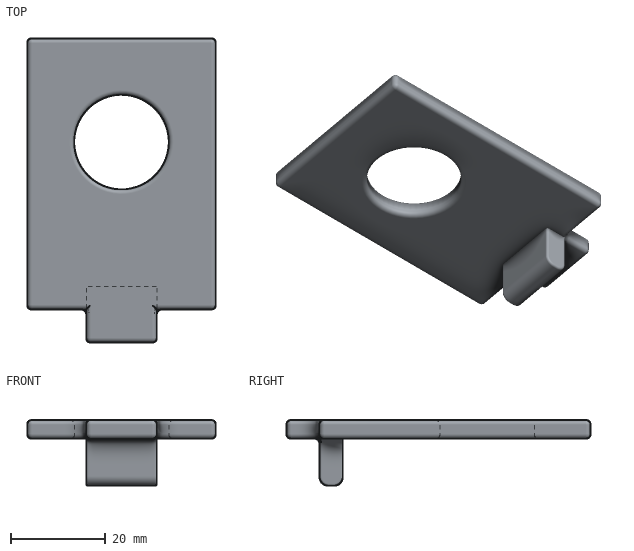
import cadquery as cq
import math

plate_width = 40.0
plate_length = 57.5
plate_thickness = 4.0
edge_radius = 1.0
hole_diameter = 20.0
hole_to_back_edge = 22.0

tab_width = 15.0
tab_length = 7.0
peg_thickness = 5.0
peg_drop = 10.0
peg_tip_radius = 2.0
peg_edge_radius = 0.5
peg_root_radius = 0.98
peg_overlap = 2.0

web_radius = 1.0
web_start_z = -1.5
web_full_z = -2.8
web_point_size = 0.01

back_y = hole_to_back_edge
front_y = back_y - plate_length
tab_front_y = front_y - tab_length
peg_back_y = front_y + peg_thickness
underside_z = -plate_thickness
peg_top_z = underside_z + peg_overlap
peg_bottom_z = underside_z - peg_drop

tolerance = 0.05


def make_box(width, y_min, y_max, z_min, z_max):
    """Box centred on X = 0 between the given Y and Z limits."""
    corner = cq.Vector(-width / 2, y_min, z_min)
    return cq.Workplane(cq.Solid.makeBox(width, y_max - y_min, z_max - z_min, corner))


def fillet_where(body, radius, is_wanted):
    """Round every edge whose centre point passes the test."""
    edges = [edge for edge in body.edges().vals() if is_wanted(edge.Center())]
    return body.newObject(edges).fillet(radius)


def near(value, target):
    return abs(value - target) < tolerance


def web_section(size, z):
    """Concave corner outline of the given radius in the inner corner on the +X side."""
    corner_x = tab_width / 2
    arc_middle = size * (1 - math.sqrt(0.5))
    return (
        cq.Workplane("XY", origin=(corner_x, front_y, z))
        .lineTo(size, 0)
        .threePointArc((arc_middle, -arc_middle), (0, -size))
        .close()
    )


def make_web():
    """Web on the +X side: a tapering upper part on a straight lower part."""
    top_wire = web_section(web_point_size, web_start_z).val()
    full_wire = web_section(web_radius, web_full_z).val()
    taper = cq.Workplane(cq.Solid.makeLoft([top_wire, full_wire], True))
    straight = web_section(web_radius, web_full_z).extrude(underside_z - web_full_z)
    return taper.union(straight)


def is_plate_edge(center):
    """Outer edges of plate and tab and both hole rims, without the inner corners and web sides."""
    on_flat_face = near(center.z, 0) or near(center.z, underside_z)
    outer_corner = near(abs(center.x), plate_width / 2) or near(center.y, tab_front_y)
    return on_flat_face or outer_corner


def make_plate():
    """Rounded plate with tab, hole and corner webs."""
    body = make_box(plate_width, front_y, back_y, underside_z, 0)
    tab = make_box(tab_width, tab_front_y, back_y, underside_z, 0)
    hole = cq.Workplane("XY").circle(hole_diameter / 2).extrude(underside_z)
    web = make_web()
    plate = body.union(tab).cut(hole).union(web).union(web.mirror("YZ"))
    return fillet_where(plate, edge_radius, is_plate_edge)


def is_peg_tip_edge(center):
    """The two long edges along X at the lower end of the peg."""
    return near(center.z, peg_bottom_z) and near(center.x, 0)


def is_peg_side_edge(center):
    """The edges that frame the two side faces of the peg, except at its hidden top."""
    return center.z < peg_top_z - tolerance and near(abs(center.x), tab_width / 2)


def make_peg():
    """Peg with rounded tip and softened side faces."""
    peg = make_box(tab_width, front_y, peg_back_y, peg_bottom_z, peg_top_z)
    tipped = fillet_where(peg, peg_tip_radius, is_peg_tip_edge)
    return fillet_where(tipped, peg_edge_radius, is_peg_side_edge)


def is_peg_front_root(center):
    """The inner corner between the tab underside and the front of the peg."""
    return near(center.x, 0) and near(center.y, front_y) and near(center.z, underside_z)


def add_front_root(body):
    """Fillet the peg root, then keep only the front stretch between the peg's side faces."""
    filleted = fillet_where(body, peg_root_radius, is_peg_front_root)
    front_zone = make_box(tab_width, tab_front_y, front_y + peg_edge_radius, peg_bottom_z, 0)
    return body.union(filleted.intersect(front_zone))


result = add_front_root(make_plate().union(make_peg()))